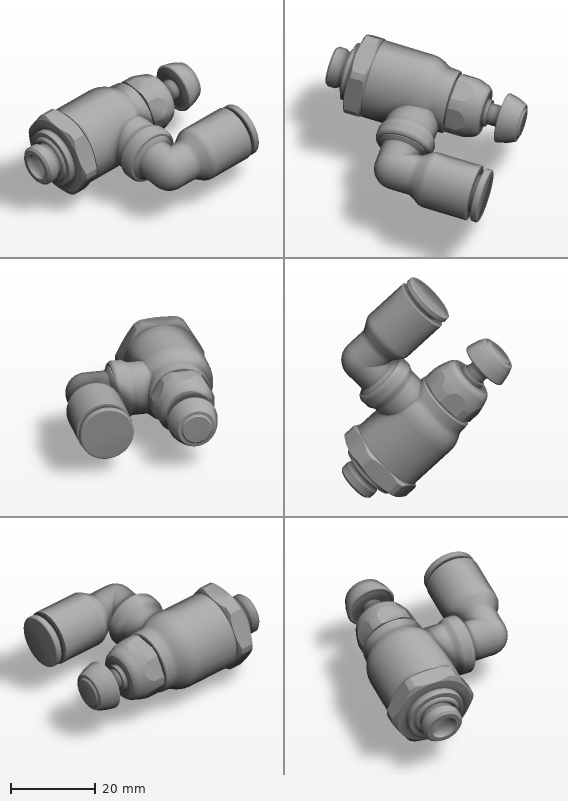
import cadquery as cq
import math


thread_top_y = 2.45
neck_round_y = 3.05
neck_bottom_y = 3.45
flange_bottom_y = 4.5
nut_bottom_y = 6.15
nut_top_y = 10.5
body_bottom_y = 10.75
dome_start_y = 22.7
dome_end_y = 26.35
collar_bottom_y = 26.8
collar_taper_y = 27.85
collar_top_y = 30.25
cap_seat_y = 30.45
cap_bottom_y = 30.75
cap_cone_y = 33.45
cap_cone_middle_y = 35.5
cap_rim_y = 37.35
cap_top_y = 38.5
stem_bottom_y = 39.55
knob_bottom_y = 42.6
knob_rim_inner_y = 42.7
knob_recess_y = 42.8
knob_round_y = 43.15
knob_middle_y = 45.3
knob_side_top_y = 47.3
knob_shoulder_y = 47.55
knob_top_y = 48.0

thread_radius = 4.9
thread_chamfer = 0.6
neck_round_radius = 4.45
neck_radius = 4.3
bore_radius = 3.15
bore_depth = nut_top_y
seal_ring_radius = 5.0
seal_section_radius = 0.75
seal_centre_y = 4.55
flange_radius = 7.05
flange_chamfer_width = 0.1
flange_chamfer_height = 0.35

nut_flats = 19.0
nut_corner_radius = 10.5
nut_chamfer_angle = 30
nut_face_radius = 9.45
nut_chamfer_height = (nut_corner_radius - nut_face_radius) * math.tan(math.radians(nut_chamfer_angle))

body_radius = nut_flats / 2
undercut_radius = 9.15
dome_end_radius = 8.4
collar_bottom_radius = 8.15
collar_waist_radius = 7.8
collar_radius = 7.7
collar_chamfer = 0.2
cap_seat_radius = 6.2
cap_neck_radius = 5.85
cap_flats = 14.1
cap_corner_radius = 7.55
cap_cone_middle_radius = cap_flats / 2
cap_rim_radius = 6.45
cap_top_radius = 5.5

stem_collar_radius = 3.3
stem_radius = 2.6
stem_chamfer = 0.25
knob_radius = 6.05
knob_rim_radius = 5.65
knob_rim_inner_radius = 5.3
knob_recess_radius = 5.1
knob_middle_radius = 5.55
knob_side_top_radius = 4.75
knob_shoulder_radius = 4.5
knob_step_radius = 3.8
knob_top_radius = 3.35

branch_y = 23.2
branch_radius = 6.3
swivel_radius = 7.05
swivel_flare_x = 10.6
swivel_full_x = 12.6
swivel_flare_round = 0.55
swivel_round_x = 14.45
swivel_round_end_x = 15.15
swivel_round_end_radius = 6.75
swivel_face_x = 15.4
swivel_face_radius = 6.55
swivel_cone_start_x = 15.55
swivel_cone_radius = 5.95
swivel_cone_end_x = 16.3
elbow_radius = 4.9

socket_x = 21.35
socket_radius = 6.75
socket_cone_bottom_y = 27.85
socket_cone_start_y = 28.9
socket_cone_start_radius = 5.15
socket_cone_end_y = 30.95
socket_cone_end_radius = 6.45
socket_cone_top_y = 32.2
socket_top_y = 43.15
sleeve_radius = 4.6
release_ring_bottom_y = 44.2
release_ring_top_y = 45.85
release_ring_radius = 6.55
release_ring_round = 0.4


def turn_about_y(profile):
    """Close an XY profile and turn it about the Y axis."""
    return profile.close().revolve(360, (0, 0, 0), (0, 1, 0))


def hexagon_prism(flats, bottom_y, top_y):
    """Hexagonal bar along Y with one pair of flats facing up and down."""
    corner_diameter = flats / math.cos(math.pi / 6)
    base = cq.Workplane("XZ", origin=(0, bottom_y, 0))
    return base.polygon(6, corner_diameter).extrude(bottom_y - top_y)


def make_threaded_end():
    flange_chamfer_y = flange_bottom_y + flange_chamfer_height
    spigot = turn_about_y(
        cq.Workplane("XY")
        .moveTo(0, 0)
        .lineTo(thread_radius - thread_chamfer, 0)
        .lineTo(thread_radius, thread_chamfer)
        .lineTo(thread_radius, thread_top_y)
        .lineTo(neck_round_radius, neck_round_y)
        .tangentArcPoint((neck_radius, neck_bottom_y), relative=False)
        .lineTo(neck_radius, flange_bottom_y)
        .lineTo(flange_radius - flange_chamfer_width, flange_bottom_y)
        .lineTo(flange_radius, flange_chamfer_y)
        .lineTo(flange_radius, nut_bottom_y)
        .lineTo(0, nut_bottom_y)
    )
    seal = (
        cq.Workplane("XY")
        .center(seal_ring_radius, seal_centre_y)
        .circle(seal_section_radius)
        .revolve(360, (-seal_ring_radius, 0, 0), (-seal_ring_radius, 1, 0))
    )
    return spigot.union(seal)


def make_nut():
    envelope = turn_about_y(
        cq.Workplane("XY")
        .moveTo(0, nut_bottom_y)
        .lineTo(nut_face_radius, nut_bottom_y)
        .lineTo(nut_corner_radius, nut_bottom_y + nut_chamfer_height)
        .lineTo(nut_corner_radius, nut_top_y - nut_chamfer_height)
        .lineTo(nut_face_radius, nut_top_y)
        .lineTo(0, nut_top_y)
    )
    return hexagon_prism(nut_flats, nut_bottom_y, nut_top_y).intersect(envelope)


def make_body():
    return turn_about_y(
        cq.Workplane("XY")
        .moveTo(0, nut_top_y)
        .lineTo(undercut_radius, nut_top_y)
        .lineTo(undercut_radius, body_bottom_y)
        .lineTo(body_radius, body_bottom_y)
        .lineTo(body_radius, dome_start_y)
        .tangentArcPoint((dome_end_radius, dome_end_y), relative=False)
        .lineTo(collar_bottom_radius, collar_bottom_y)
        .tangentArcPoint((collar_waist_radius, collar_taper_y), relative=False)
        .lineTo(collar_radius, collar_top_y - collar_chamfer)
        .lineTo(collar_radius - collar_chamfer, collar_top_y)
        .lineTo(cap_seat_radius, collar_top_y)
        .lineTo(cap_seat_radius, cap_seat_y)
        .lineTo(cap_neck_radius, cap_bottom_y)
        .lineTo(0, cap_bottom_y)
    )


def make_cap():
    envelope = turn_about_y(
        cq.Workplane("XY")
        .moveTo(0, cap_bottom_y)
        .lineTo(cap_corner_radius, cap_bottom_y)
        .lineTo(cap_corner_radius, cap_cone_y)
        .threePointArc((cap_cone_middle_radius, cap_cone_middle_y), (cap_rim_radius, cap_rim_y))
        .tangentArcPoint((cap_top_radius, cap_top_y), relative=False)
        .lineTo(0, cap_top_y)
    )
    return hexagon_prism(cap_flats, cap_bottom_y, cap_top_y).intersect(envelope)


def make_stem_and_knob():
    return turn_about_y(
        cq.Workplane("XY")
        .moveTo(0, cap_top_y)
        .lineTo(stem_collar_radius, cap_top_y)
        .lineTo(stem_collar_radius, stem_bottom_y)
        .lineTo(stem_radius, stem_bottom_y)
        .lineTo(stem_radius, knob_bottom_y - stem_chamfer)
        .lineTo(stem_radius - stem_chamfer, knob_recess_y)
        .lineTo(knob_recess_radius, knob_recess_y)
        .lineTo(knob_rim_inner_radius, knob_rim_inner_y)
        .threePointArc((knob_rim_radius, knob_bottom_y), (knob_radius, knob_round_y))
        .threePointArc((knob_middle_radius, knob_middle_y), (knob_side_top_radius, knob_side_top_y))
        .tangentArcPoint((knob_shoulder_radius, knob_shoulder_y), relative=False)
        .lineTo(knob_step_radius, knob_shoulder_y)
        .lineTo(knob_top_radius, knob_top_y)
        .lineTo(0, knob_top_y)
    )


def make_branch():
    flare_slope = (swivel_radius - branch_radius) / (swivel_full_x - swivel_flare_x - swivel_flare_round)
    flare_rise = swivel_flare_round * flare_slope / 2
    profile = (
        cq.Workplane("XY", origin=(0, branch_y, 0))
        .lineTo(0, branch_radius)
        .lineTo(swivel_flare_x, branch_radius)
        .tangentArcPoint((swivel_flare_x + swivel_flare_round, branch_radius + flare_rise), relative=False)
        .lineTo(swivel_full_x - swivel_flare_round, swivel_radius - flare_rise)
        .tangentArcPoint((swivel_full_x, swivel_radius), relative=False)
        .lineTo(swivel_round_x, swivel_radius)
        .tangentArcPoint((swivel_round_end_x, swivel_round_end_radius), relative=False)
        .lineTo(swivel_face_x, swivel_face_radius)
        .lineTo(swivel_face_x, swivel_cone_radius)
        .lineTo(swivel_cone_start_x, swivel_cone_radius)
        .lineTo(swivel_cone_end_x, elbow_radius)
        .lineTo(socket_x, elbow_radius)
        .lineTo(socket_x, 0)
        .close()
    )
    elbow_corner = cq.Workplane("XY", origin=(socket_x, branch_y, 0)).sphere(elbow_radius)
    return profile.revolve(360, (0, 0, 0), (1, 0, 0)).union(elbow_corner)


def make_socket():
    shoulder_middle_radius = socket_radius - (socket_radius - socket_cone_end_radius) / 4
    shoulder_middle_y = (socket_cone_end_y + socket_cone_top_y) / 2
    ring_inner_radius = release_ring_radius - release_ring_round
    profile = (
        cq.Workplane("XY", origin=(socket_x, 0, 0))
        .moveTo(0, branch_y)
        .lineTo(elbow_radius, branch_y)
        .lineTo(elbow_radius, socket_cone_bottom_y)
        .tangentArcPoint((socket_cone_start_radius, socket_cone_start_y), relative=False)
        .lineTo(socket_cone_end_radius, socket_cone_end_y)
        .threePointArc(
            (shoulder_middle_radius, shoulder_middle_y),
            (socket_radius, socket_cone_top_y),
        )
        .lineTo(socket_radius, socket_top_y)
        .lineTo(sleeve_radius, socket_top_y)
        .lineTo(sleeve_radius, release_ring_bottom_y)
        .lineTo(ring_inner_radius, release_ring_bottom_y)
        .tangentArcPoint((release_ring_round, release_ring_round))
        .lineTo(release_ring_radius, release_ring_top_y - release_ring_round)
        .tangentArcPoint((-release_ring_round, release_ring_round))
        .lineTo(0, release_ring_top_y)
    )
    return turn_about_y(profile)


def make_bore():
    return cq.Workplane("XZ").circle(bore_radius).extrude(-bore_depth)


result = (
    make_threaded_end()
    .union(make_nut())
    .union(make_body())
    .union(make_cap())
    .union(make_stem_and_knob())
    .union(make_branch())
    .union(make_socket())
    .cut(make_bore())
)